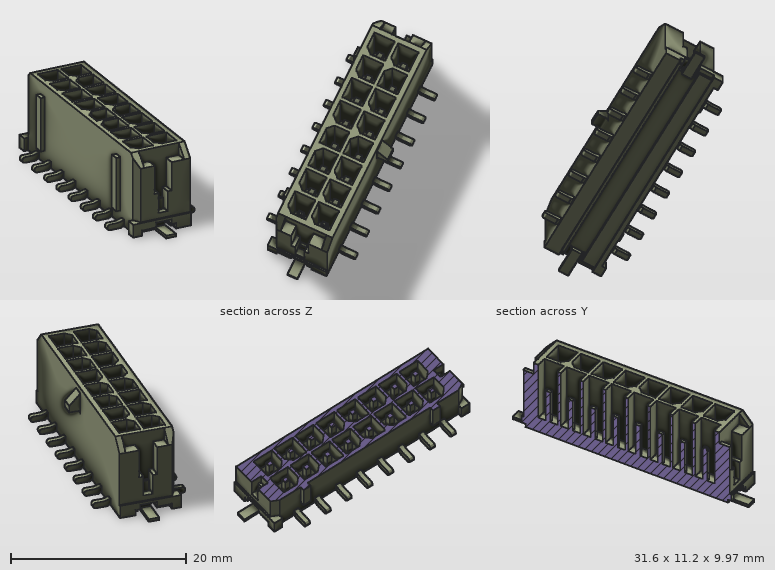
import cadquery as cq
import math


columns = 8
pitch = 3.0
row_offset = pitch / 2
end_column_x = (columns - 1) / 2 * pitch

overall_length = 31.65
overall_depth = 11.2
housing_top = 9.97
housing_bottom = 0.1
housing_end = 13.85
top_end = 12.47
shoulder_z = 8.42
front_y = -3.42
back_y = 3.48
corner_cut_x = 0.95
corner_cut_y = 0.5

notch_front_y = -2.45
notch_back_y = 2.72
wide_slot_width = 2.18
wide_slot_floor = 4.87
narrow_slot_width = 1.17
narrow_slot_floor = 2.4

flange_end = 14.1
flange_top = 1.7
flange_front_y = -3.95
flange_inner_x = housing_end - corner_cut_x

relief_front_y = -2.82
relief_back_y = 1.58
underside_z = 0.32
channel_width = 2.3
channel_top = 0.75
relief_depth = 0.5
nail_notch_width = 2.03
nail_notch_top = 1.35

nail_thickness = 0.35
nail_foot_width = 1.27
nail_tongue_width = 0.82
nail_face_x = 13.05
nail_back_x = nail_face_x - nail_thickness
nail_top = 3.8

pocket_size = 2.55
pocket_corner_cut = 0.7
pocket_floor = narrow_slot_floor
pin_width = 0.65
pin_top = 6.65
pin_taper_height = 0.38
pin_taper_inset = 0.175
back_row_keys = "RLRRLRRR"
front_row_keys = "RR-RLLRR"

lead_tip_y = overall_depth / 2
lead_bend_y = 4.25
lead_height = 0.73
lead_rise = 0.2
lead_under_bend_y = 3.9
lead_under_root_y = 3.55
lead_tip_radius = lead_height / 2
lead_embedded_length = 0.63

rib_inner_x = 8.8
rib_width = 1.08
rib_top = 8.4

latch_width = 1.45
latch_tip_y = 4.85
latch_top = 9.27
latch_face_top = 7.9
latch_bottom = 7.05
latch_root_radius = 0.45


def box(x_range, y_range, z_range):
    """Axis-aligned block between the given limits."""
    (x0, x1), (y0, y1), (z0, z1) = x_range, y_range, z_range
    return cq.Workplane("XY").box(x1 - x0, y1 - y0, z1 - z0, centered=False).translate((x0, y0, z0))


def both_ends(shape):
    """The shape together with its mirror image at the other end of the part."""
    return shape.union(shape.mirror("YZ"))


def centred(width):
    return (-width / 2, width / 2)


def make_housing():
    shell = (
        cq.Workplane("XZ", origin=(0, back_y, 0))
        .moveTo(-housing_end, housing_bottom)
        .lineTo(housing_end, housing_bottom)
        .lineTo(housing_end, shoulder_z)
        .lineTo(top_end, housing_top)
        .lineTo(-top_end, housing_top)
        .lineTo(-housing_end, shoulder_z)
        .close()
        .extrude(back_y - front_y)
    )
    corner = (
        cq.Workplane("XY")
        .moveTo(-housing_end, front_y)
        .lineTo(-housing_end + corner_cut_x, front_y)
        .lineTo(-housing_end, front_y + corner_cut_y)
        .close()
        .extrude(housing_top)
    )
    return shell.cut(both_ends(corner))


def make_flange():
    return box((-flange_end, -flange_inner_x), (flange_front_y, back_y), (housing_bottom, flange_top))


def make_end_cuts():
    slot_x = (-flange_end, -top_end)
    notch = box(slot_x, (notch_front_y, notch_back_y), (shoulder_z, housing_top))
    wide_slot = box(slot_x, centred(wide_slot_width), (wide_slot_floor, housing_top))
    narrow_slot = box(slot_x, centred(narrow_slot_width), (narrow_slot_floor, housing_top))
    relief = box(
        (-flange_end, -flange_end + relief_depth), (relief_front_y, relief_back_y), (0, channel_top)
    )
    nail_notch = box((-flange_end, -nail_back_x), centred(nail_notch_width), (0, nail_notch_top))
    return notch.union(wide_slot).union(narrow_slot).union(relief).union(nail_notch)


def make_underside_cuts():
    length = (-flange_end, flange_end)
    step = box(length, (relief_front_y, relief_back_y), (0, underside_z))
    channel = box(length, centred(channel_width), (0, channel_top))
    return step.union(channel)


def make_nail():
    """L-shaped nail: a flat foot outside, a post in the notch below the flange and a tongue in the slot."""
    post_x = (-nail_face_x, -nail_back_x)
    foot = box((-overall_length / 2, post_x[1]), centred(nail_foot_width), (0, nail_thickness))
    post = box(post_x, centred(nail_foot_width), (0, nail_notch_top))
    tongue = box(post_x, centred(nail_tongue_width), (0, nail_top))
    return foot.union(post).union(tongue)


def make_pocket(x, y, key):
    """Square pocket with one front corner cut: L at -X, R at +X, - for none."""
    pocket = (
        cq.Workplane("XY", origin=(x, y, pocket_floor))
        .rect(pocket_size, pocket_size)
        .extrude(housing_top - pocket_floor)
    )
    if key == "L":
        pocket = pocket.edges("|Z and <X and <Y").chamfer(pocket_corner_cut)
    if key == "R":
        pocket = pocket.edges("|Z and >X and <Y").chamfer(pocket_corner_cut)
    return pocket


def make_pin(x, y, tapered):
    """Square pin standing in a pocket, optionally with a tapered tip."""
    pin = box(centred(pin_width), centred(pin_width), (underside_z, pin_top))
    if tapered:
        taper_angle = math.degrees(math.atan(pin_taper_inset / pin_taper_height))
        tip = (
            cq.Workplane("XY", origin=(0, 0, pin_top))
            .rect(pin_width, pin_width)
            .extrude(pin_taper_height, taper=taper_angle)
        )
        pin = pin.union(tip)
    return pin.translate((x, y, 0))


def make_lead(x):
    """Solder lead on the +Y side, cranked down to Z = 0 with a rounded tip."""
    root_y = back_y - lead_embedded_length
    return (
        cq.Workplane("YZ", origin=(x - pin_width / 2, 0, 0))
        .moveTo(root_y, lead_rise)
        .lineTo(lead_under_root_y, lead_rise)
        .lineTo(lead_under_bend_y, 0)
        .lineTo(lead_tip_y - lead_tip_radius, 0)
        .threePointArc((lead_tip_y, lead_tip_radius), (lead_tip_y - lead_tip_radius, lead_height))
        .lineTo(lead_bend_y, lead_height)
        .lineTo(back_y, lead_height + lead_rise)
        .lineTo(root_y, lead_height + lead_rise)
        .close()
        .extrude(pin_width)
    )


def make_rib():
    return box((rib_inner_x, rib_inner_x + rib_width), (flange_front_y, front_y), (flange_top, rib_top))


def make_latch():
    arc_mid = latch_root_radius * math.sqrt(0.5)
    return (
        cq.Workplane("YZ", origin=(-latch_width / 2, 0, 0))
        .moveTo(back_y, latch_top)
        .lineTo(latch_tip_y, latch_face_top)
        .lineTo(latch_tip_y, latch_bottom)
        .lineTo(back_y + latch_root_radius, latch_bottom)
        .threePointArc(
            (
                back_y + latch_root_radius - arc_mid,
                latch_bottom - latch_root_radius + arc_mid,
            ),
            (back_y, latch_bottom - latch_root_radius),
        )
        .close()
        .extrude(latch_width)
    )


body = make_housing().union(both_ends(make_flange()))
body = body.cut(both_ends(make_end_cuts()))
body = body.cut(make_underside_cuts())

for row_y, row_keys in ((row_offset, back_row_keys), (-row_offset, front_row_keys)):
    for column, pocket_key in enumerate(row_keys):
        column_x = column * pitch - end_column_x
        is_last_column = column == columns - 1
        body = body.cut(make_pocket(column_x, row_y, pocket_key))
        body = body.union(make_pin(column_x, row_y, is_last_column))

for column in range(columns):
    lead = make_lead(column * pitch - end_column_x)
    body = body.union(lead).union(lead.mirror("XZ"))

result = body.union(both_ends(make_nail())).union(both_ends(make_rib())).union(make_latch())